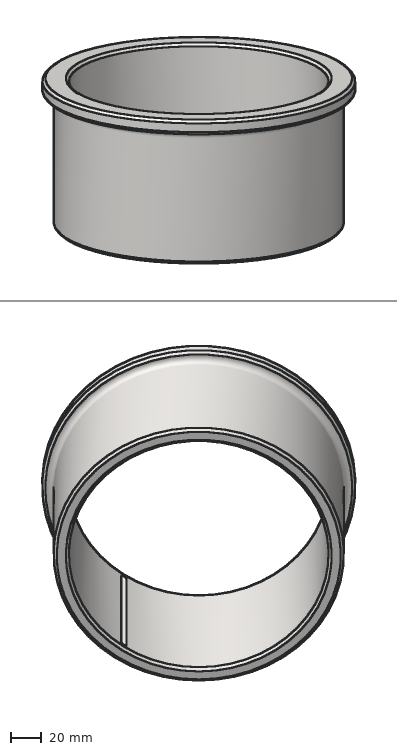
import cadquery as cq

height = 100.0
flange_diameter = 205.0
flange_thickness = 10.0
barrel_diameter = 190.0
bore_diameter = 170.0
edge_chamfer = 2.0
neck_fillet = 4.0

groove_radius = 2.0
groove_end_gap = 4.0

flange_radius = flange_diameter / 2
barrel_radius = barrel_diameter / 2
bore_radius = bore_diameter / 2
flange_bottom = height - flange_thickness


def make_bushing():
    """Revolve the wall section, including its edge chamfers and neck fillet."""
    neck_arc_centre = (barrel_radius + neck_fillet, flange_bottom - neck_fillet)
    arc_offset = neck_fillet * 0.5 ** 0.5
    neck_arc_middle = (neck_arc_centre[0] - arc_offset, neck_arc_centre[1] + arc_offset)
    return (
        cq.Workplane("XZ")
        .moveTo(bore_radius + edge_chamfer, 0)
        .lineTo(barrel_radius - edge_chamfer, 0)
        .lineTo(barrel_radius, edge_chamfer)
        .lineTo(barrel_radius, flange_bottom - neck_fillet)
        .threePointArc(neck_arc_middle, (barrel_radius + neck_fillet, flange_bottom))
        .lineTo(flange_radius - edge_chamfer, flange_bottom)
        .lineTo(flange_radius, flange_bottom + edge_chamfer)
        .lineTo(flange_radius, height - edge_chamfer)
        .lineTo(flange_radius - edge_chamfer, height)
        .lineTo(bore_radius + edge_chamfer, height)
        .lineTo(bore_radius, height - edge_chamfer)
        .lineTo(bore_radius, edge_chamfer)
        .close()
        .revolve(360, (0, 0), (0, 1))
    )


def make_groove_cutter():
    """Upright rod with hemispherical ends, centred on the bore wall."""
    rod_bottom = groove_end_gap + groove_radius
    rod_length = height - 2 * rod_bottom
    cutter = (
        cq.Workplane("XY", origin=(bore_radius, 0, rod_bottom))
        .circle(groove_radius)
        .extrude(rod_length)
    )
    for end_height in (rod_bottom, rod_bottom + rod_length):
        ball = cq.Workplane("XY").sphere(groove_radius).translate((bore_radius, 0, end_height))
        cutter = cutter.union(ball)
    return cutter


result = make_bushing().cut(make_groove_cutter())